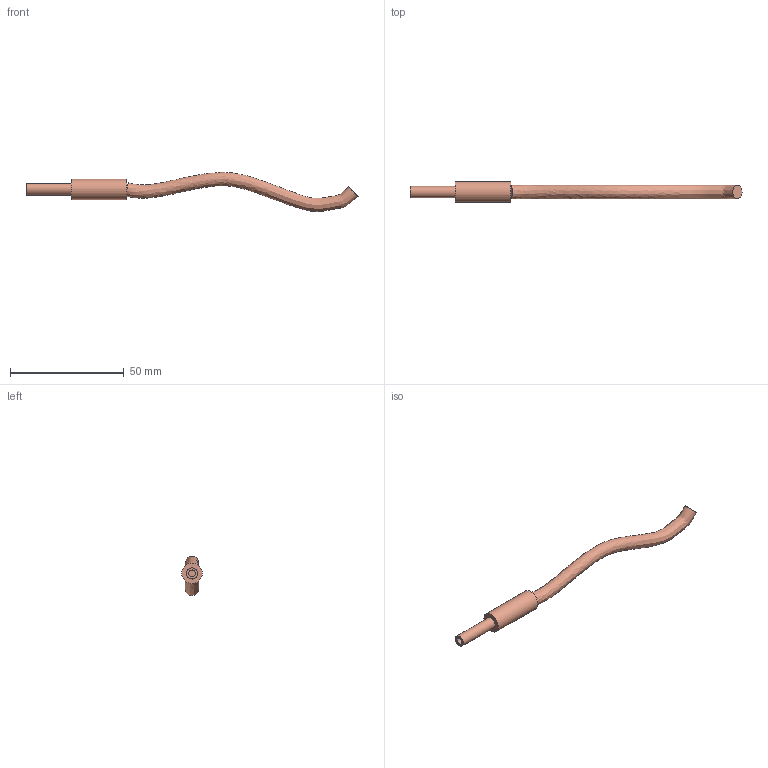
import cadquery as cq
import math

pin_length = 19.8
pin_diameter = 5.0
bore_diameter = 3.0
bore_depth = pin_length

sleeve_length = 24.5
sleeve_diameter = 9.0
sleeve_end = pin_length + sleeve_length

cable_diameter = 6.0
start_angle = -14.0
end_angle = 43.0
centreline = [
    (sleeve_end, 0.0),
    (50.1, -0.9),
    (67.7, 1.7),
    (78.3, 3.75),
    (88.0, 4.45),
    (107.3, -0.6),
    (118.0, -4.6),
    (129.3, -6.8),
    (137.0, -5.5),
    (143.96, -1.0),
]


def rod(start, length, diameter):
    """Solid cylinder along +X, beginning at the given X position."""
    return cq.Workplane("YZ").workplane(offset=start).circle(diameter / 2).extrude(length)


def direction(angle):
    """Unit vector in the XZ plane at an angle in degrees above +X."""
    return (math.cos(math.radians(angle)), math.sin(math.radians(angle)))


def cable():
    """Round section swept along the smooth centreline."""
    path = cq.Workplane("XZ").spline(
        centreline,
        tangents=[direction(start_angle), direction(end_angle)],
    )
    start_x, start_z = centreline[0]
    normal_x, normal_z = direction(start_angle)
    start_plane = cq.Plane(
        origin=(start_x, 0, start_z),
        xDir=(0, 1, 0),
        normal=(normal_x, 0, normal_z),
    )
    return cq.Workplane(start_plane).circle(cable_diameter / 2).sweep(path)


pin = rod(0, pin_length, pin_diameter)
sleeve = rod(pin_length, sleeve_length, sleeve_diameter)
bore = rod(0, bore_depth, bore_diameter)

result = pin.cut(bore).union(sleeve).union(cable())